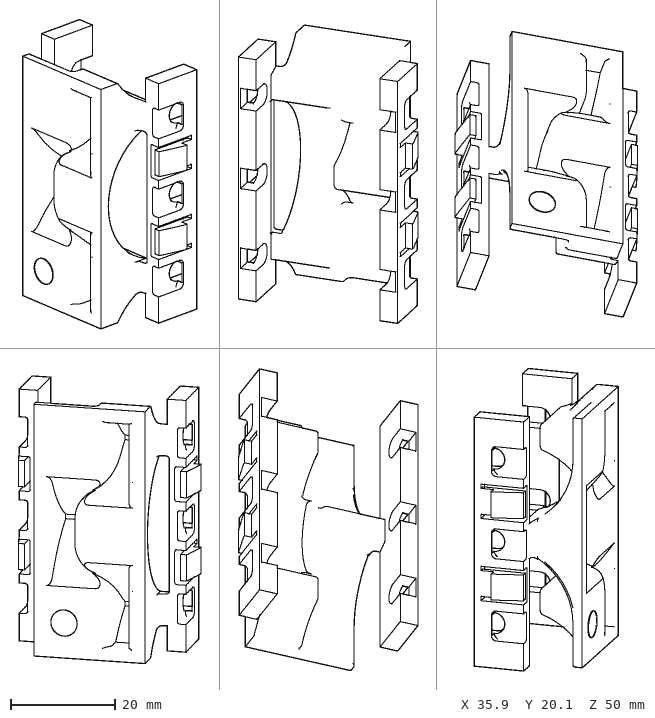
import cadquery as cq
import math

length = 50.0
half_length = length / 2
pitch = 16.5
crossing = pitch / 2

plate_half_width = 11.0
plate_thickness = 2.0
hump_height = 12.6
flank_radius = 14.5
left_hump_end = 0.0
right_hump_end = 1.0
crest_round = 0.8
left_wall_round = 0.9
right_wall_round = 0.5
back_edge_round = 0.5
root_fillet = 1.0

hollow_depth = 11.25
hollow_half_length = 10.8
hollow_crest_half = 0.45
roof_middle = 4.9
hollow_outer_x = 7.6
hollow_end = 5.75
left_hollow_wall = -3.25
right_hollow_wall = 4.15
wall_bend_start = 2.5
wall_bend_radius = 6.0
wall_bend_angle = math.radians(60)
inner_mouth_round = 1.7
outer_mouth_round = 0.9
end_mouth_round = 0.35
land_half_length = 12.5

bar_inner_x = 12.8
bar_outer_x = 16.5
bar_front_y = 10.0
bar_back_y = 20.0
web_fillet = 1.0
web_overlap = 0.75
relief_depth = 0.4
relief_half_length = 13.7
relief_corner = 0.6

window_half_length = 3.0
window_floor_x = 14.8
window_back_y = 16.5
window_corner = 1.0
window_floor_fillet = 0.55
slot_half_length = 2.1
slot_outer_x = 16.05

tongue_half_length = 2.6
tongue_thickness = 1.05
groove_half_length = 3.45
groove_floor_x = 14.3
groove_back_y = 18.6
groove_floor_fillet = 0.4
wedge_foot_x = 16.65
wedge_tip_x = 17.95
wedge_tip_y = 15.6
wedge_back_y = 16.1

pad_radius = 2.6
pad_height = 0.15
pad_x = -5.0
pad_z = -18.0

margin = 0.025


def block(x0, x1, y0, y1, z0, z1):
    """Box between two opposite corners."""
    return cq.Workplane("XY").box(x1 - x0, y1 - y0, z1 - z0, centered=False).translate((x0, y0, z0))


def edges_in(x0, x1, y0, y1, z0, z1):
    """Selector for the edges whose centres lie in a box, which may be flat."""
    low = (x0 - margin, y0 - margin, z0 - margin)
    high = (x1 + margin, y1 + margin, z1 + margin)
    return cq.selectors.BoxSelector(low, high)


def hump(x0, x1, axis_z):
    """Plate with one bell-shaped hump across it, cut to the plate length."""
    def flank(y):
        return pitch - math.sqrt(flank_radius ** 2 - (plate_thickness + flank_radius - y) ** 2)

    crest = flank(hump_height)
    middle_y = hump_height / 2
    middle = flank(middle_y)
    far = length + pitch
    bell = (
        cq.Workplane("YZ", origin=(x0, 0, axis_z))
        .moveTo(0, -far)
        .lineTo(plate_thickness, -far)
        .lineTo(plate_thickness, -pitch)
        .threePointArc((middle_y, -middle), (hump_height, -crest))
        .lineTo(hump_height, crest)
        .threePointArc((middle_y, middle), (plate_thickness, pitch))
        .lineTo(plate_thickness, far)
        .lineTo(0, far)
        .close()
        .extrude(x1 - x0)
    )
    return bell.intersect(block(x0, x1, 0, hump_height, -half_length, half_length))


def hump_pair(x0, x1):
    """Plate with the two humps of the right side."""
    return hump(x0, x1, pitch).union(hump(x0, x1, -pitch))


def corrugated_plate():
    """Left hump, right humps and the low saddle that joins them, with their rounded edges."""
    left = hump(-plate_half_width, left_hump_end, 0)
    right = hump_pair(right_hump_end, plate_half_width)
    saddle = hump(left_hump_end, right_hump_end, 0).intersect(hump_pair(left_hump_end, right_hump_end))
    body = left.union(saddle).union(right).clean()

    body = body.faces(">Y").edges("|X").fillet(crest_round)
    for x, axis_z, radius in ((left_hump_end, 0, left_wall_round),
                              (right_hump_end, pitch, right_wall_round),
                              (right_hump_end, -pitch, right_wall_round)):
        crest = edges_in(x, x, hump_height, hump_height, axis_z, axis_z)
        body = body.edges(crest).fillet(radius)

    x, y = right_hump_end, plate_thickness
    for z0, z1 in ((pitch, half_length), (-half_length, -pitch)):
        body = body.edges(edges_in(x, x, y, y, z0, z1)).fillet(root_fillet)

    x0, x1 = -plate_half_width, left_hump_end
    side = edges_in(x0, x0, y, hump_height, -half_length, half_length)
    top_end = edges_in(x0, x1, y, y, half_length, half_length)
    bottom_end = edges_in(x0, x1, y, y, -half_length, -half_length)
    return body.edges(side + top_end + bottom_end).fillet(back_edge_round)


def web(axis_z):
    """Upper strip of a hump carried on to the right-hand bar, blended into the plate side."""
    root_x = plate_half_width - web_overlap
    outline = (
        cq.Workplane("XY", origin=(0, 0, -half_length))
        .moveTo(root_x, bar_front_y - web_fillet)
        .lineTo(plate_half_width, bar_front_y - web_fillet)
        .radiusArc((plate_half_width + web_fillet, bar_front_y), web_fillet)
        .lineTo(bar_inner_x, bar_front_y)
        .lineTo(bar_inner_x, bar_back_y)
        .lineTo(root_x, bar_back_y)
        .close()
        .extrude(length)
    )
    strip = hump(root_x, bar_inner_x, axis_z).faces(">Y").edges("|X").fillet(crest_round)
    return strip.intersect(outline)


def hollow_roof():
    """Bell-shaped space along X, wider than any hollow."""
    return (
        cq.Workplane("YZ", origin=(-plate_half_width, 0, 0))
        .moveTo(0, -hollow_half_length)
        .threePointArc((roof_middle, -roof_middle), (hollow_depth, -hollow_crest_half))
        .lineTo(hollow_depth, hollow_crest_half)
        .threePointArc((roof_middle, roof_middle), (0, hollow_half_length))
        .close()
        .extrude(2 * plate_half_width)
    )


def inner_land(wall_x, outward, bend_both):
    """Solid beside the inner wall, which bends back on the -Z side or on both sides of the axis."""
    def on_bend(angle):
        x = wall_x + outward * wall_bend_radius * (1 - math.cos(angle))
        return x, wall_bend_start + wall_bend_radius * math.sin(angle)

    mid_x, mid_z = on_bend(wall_bend_angle / 2)
    end_x, end_z = on_bend(wall_bend_angle)
    tail_x = end_x + outward * (land_half_length - end_z) * math.tan(wall_bend_angle)
    far_x = outward * length
    outline = (
        cq.Workplane("XZ")
        .moveTo(far_x, -land_half_length)
        .lineTo(tail_x, -land_half_length)
        .lineTo(end_x, -end_z)
        .threePointArc((mid_x, -mid_z), (wall_x, -wall_bend_start))
    )
    if bend_both:
        outline = (
            outline.lineTo(wall_x, wall_bend_start)
            .threePointArc((mid_x, mid_z), (end_x, end_z))
            .lineTo(tail_x, land_half_length)
        )
    else:
        outline = outline.lineTo(wall_x, land_half_length)
    land = outline.lineTo(far_x, land_half_length).close().extrude(-bar_back_y)
    mouth_edge = edges_in(wall_x, wall_x, 0, 0, -wall_bend_start, land_half_length)
    return land.edges(mouth_edge).fillet(inner_mouth_round)


def outer_land(outward):
    """Solid beside the flat outer wall."""
    land = block(hollow_outer_x, length, 0, bar_back_y, -land_half_length, land_half_length)
    land = land.edges("<X and <Y").fillet(outer_mouth_round)
    if outward > 0:
        return land.mirror("YZ")
    return land


def hollow(wall_x, outward, bend_both):
    """Hollow on the axis Z = 0; outward is the X direction from the hollow to its inner wall."""
    return hollow_roof().cut(inner_land(wall_x, outward, bend_both)).cut(outer_land(outward))


def right_hollow():
    """Hollow under the upper right hump, closed by a flat wall near the end of the plate."""
    end = block(-length, length, 0, bar_back_y, hollow_end, land_half_length)
    end = end.edges("<Y and <Z").fillet(end_mouth_round)
    return hollow(right_hollow_wall, -1, False).cut(end).translate((0, 0, pitch))


def window(z):
    """Window cut from the outer side of the right bar, with the slot and half-round hole behind it."""
    z0, z1 = z - window_half_length, z + window_half_length
    recess = block(window_floor_x, bar_outer_x, bar_front_y, window_back_y, z0, z1)
    cornered = recess.edges("|X and >Y").fillet(window_corner)
    recess = recess.edges("|Y and <X").fillet(window_floor_fillet).intersect(cornered)
    z0, z1 = z - slot_half_length, z + slot_half_length
    slot = block(bar_inner_x, slot_outer_x, window_back_y, bar_back_y, z0, z1)
    hole = (
        cq.Workplane("YZ", origin=(bar_inner_x, window_back_y, z))
        .moveTo(0, -slot_half_length)
        .threePointArc((-slot_half_length, 0), (0, slot_half_length))
        .close()
        .extrude(window_floor_x - bar_inner_x)
    )
    return recess.union(slot).union(hole)


def groove(z):
    """U-shaped groove that frees a snap tongue from the right bar."""
    z0, z1 = z - groove_half_length, z + groove_half_length
    space = block(groove_floor_x, bar_outer_x, bar_front_y, groove_back_y, z0, z1)
    space = space.edges("|Y and <X").fillet(groove_floor_fillet)
    z0, z1 = z - tongue_half_length, z + tongue_half_length
    return space.cut(block(bar_outer_x - tongue_thickness, bar_outer_x, bar_front_y, groove_back_y, z0, z1))


def wedge(z):
    """Catch on the outer side of a snap tongue."""
    return (
        cq.Workplane("XY", origin=(0, 0, z - tongue_half_length))
        .moveTo(bar_outer_x, bar_front_y)
        .lineTo(wedge_foot_x, bar_front_y)
        .lineTo(wedge_tip_x, wedge_tip_y)
        .lineTo(wedge_tip_x, wedge_back_y)
        .lineTo(bar_outer_x, wedge_back_y)
        .close()
        .extrude(2 * tongue_half_length)
    )


def side_bar():
    """Bar of the right side."""
    bar = block(bar_inner_x, bar_outer_x, bar_front_y, bar_back_y, -half_length, half_length)
    for z in (-pitch, 0, pitch):
        bar = bar.cut(window(z))
    for z in (-crossing, crossing):
        bar = bar.cut(groove(z)).union(wedge(z))
    return bar


def relief():
    """Clearance between the right webs, cut into the webs and the inner side of the bar."""
    space = block(plate_half_width, bar_inner_x + relief_depth, bar_front_y - web_fillet, hump_height,
                  -relief_half_length, relief_half_length)
    return space.edges("|Y and >X").fillet(relief_corner)


body = corrugated_plate()
for axis_z in (-pitch, pitch):
    body = body.union(web(axis_z))
body = body.union(web(0).mirror("YZ"))

right_bar = side_bar()
body = body.union(right_bar).cut(relief()).union(right_bar.mirror("YZ"))

upper_hollow = right_hollow()
for space in (hollow(left_hollow_wall, 1, True), upper_hollow, upper_hollow.mirror("XY")):
    body = body.cut(space)

pad = cq.Workplane("XZ", origin=(pad_x, 0, pad_z)).circle(pad_radius).extrude(pad_height)
result = body.union(pad)